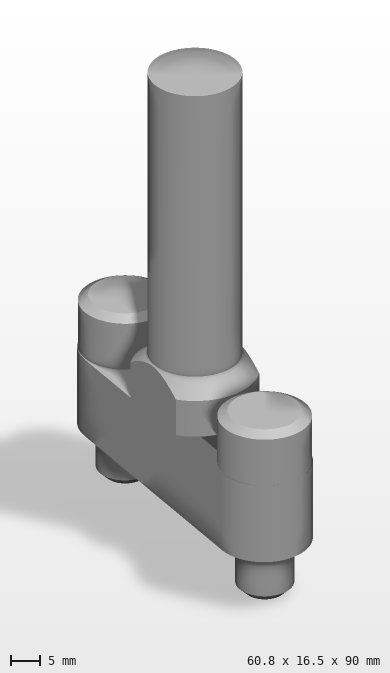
import cadquery as cq
import math

base_length = 60.8
base_width = 16.5
base_height = 15.0

stud_offset = 22.4
pin_diameter = 10.0
pin_length = 10.0
pin_chamfer = 1.5
head_diameter = 16.0
head_height = 10.0
head_chamfer_height = 1.0
head_chamfer_angle = 30.0
head_chamfer_width = head_chamfer_height / math.tan(math.radians(head_chamfer_angle))

shaft_diameter = 16.0
collar_diameter = 22.0
collar_height = 10.0
collar_cone_height = 3.0
total_height = 90.0

base_bottom = pin_length
base_top = base_bottom + base_height


def cylinder(diameter, height, x, z):
    """Upright cylinder on the XZ centre plane, standing at height z."""
    return cq.Workplane("XY", origin=(x, 0, z)).circle(diameter / 2).extrude(height)


def make_base():
    return (
        cq.Workplane("XY", origin=(0, 0, base_bottom))
        .slot2D(base_length, base_width)
        .extrude(base_height)
    )


def make_stud(x):
    """Locating pin below the bar and round head above it."""
    pin = cylinder(pin_diameter, pin_length, x, 0).faces("<Z").chamfer(pin_chamfer)
    head = cylinder(head_diameter, head_height, x, base_top)
    head = head.faces(">Z").edges().chamfer(head_chamfer_height, head_chamfer_width)
    return pin.union(head)


def make_collar():
    """Collar tapering to the shaft, with flats flush with the sides of the bar."""
    collar_radius = collar_diameter / 2
    shaft_radius = shaft_diameter / 2
    collar_top = base_top + collar_height
    turned = (
        cq.Workplane("XZ")
        .moveTo(0, base_top)
        .lineTo(collar_radius, base_top)
        .lineTo(collar_radius, collar_top - collar_cone_height)
        .lineTo(shaft_radius, collar_top)
        .lineTo(0, collar_top)
        .close()
        .revolve(360, (0, 0), (0, 1))
    )
    between_flats = cq.Workplane("XY", origin=(0, 0, base_top)).box(
        collar_diameter, base_width, collar_height, centered=(True, True, False)
    )
    return turned.intersect(between_flats)


def make_shaft():
    return cylinder(shaft_diameter, total_height - base_top, 0, base_top)


result = make_base().union(make_collar()).union(make_shaft())
for side in (-1, 1):
    result = result.union(make_stud(side * stud_offset))